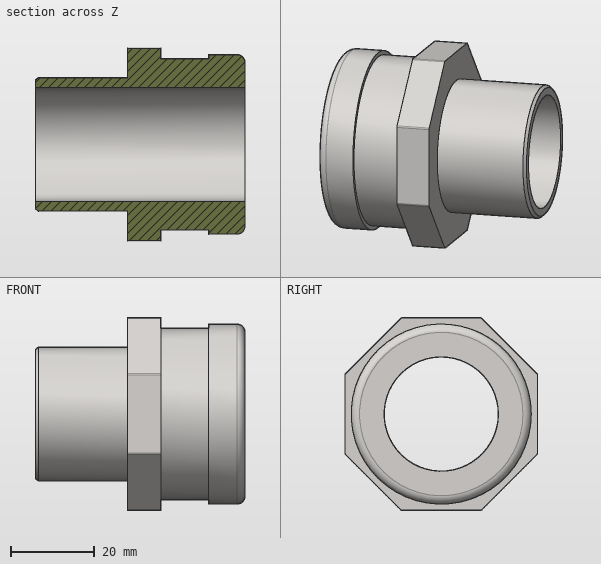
import cadquery as cq
import math

overall_length = 50.1
spigot_length = 22.0
nut_length = 8.0
collar_length = 8.7
body_length = overall_length - spigot_length - nut_length - collar_length

bore_diameter = 27.2
spigot_diameter = 32.0
body_diameter = 41.0
collar_diameter = 43.0
nut_across_flats = 46.0
nut_sides = 8

spigot_chamfer_length = 0.7
spigot_chamfer_depth = 0.6
collar_fillet = 2.0
nut_corner_radius = 0.5

nut_start = spigot_length
body_start = nut_start + nut_length
collar_start = body_start + body_length


def cylinder_along_x(start, length, diameter):
    """Solid cylinder centred on the X axis, running toward +X from start."""
    return cq.Workplane("YZ", origin=(start, 0, 0)).circle(diameter / 2).extrude(length)


def make_spigot():
    """Plain round spigot with a lead-in chamfer, revolved about the X axis."""
    spigot_radius = spigot_diameter / 2
    return (
        cq.Workplane("XY")
        .moveTo(0, 0)
        .lineTo(0, spigot_radius - spigot_chamfer_depth)
        .lineTo(spigot_chamfer_length, spigot_radius)
        .lineTo(spigot_length, spigot_radius)
        .lineTo(spigot_length, 0)
        .close()
        .revolve(360, (0, 0, 0), (1, 0, 0))
    )


def make_octagonal_nut():
    """Octagon with flats facing Y and Z and slightly rounded corners."""
    half_side_angle = 180 / nut_sides
    across_corners = nut_across_flats / math.cos(math.radians(half_side_angle))
    nut = (
        cq.Workplane("YZ", origin=(nut_start, 0, 0))
        .transformed(rotate=(0, 0, half_side_angle))
        .polygon(nut_sides, across_corners)
        .extrude(nut_length)
    )
    return nut.edges("|X").fillet(nut_corner_radius)


def make_collar():
    """End ring with a rounded outer rim."""
    collar = cylinder_along_x(collar_start, collar_length, collar_diameter)
    return collar.faces(">X").edges().fillet(collar_fillet)


def make_fitting():
    """Stack the outer sections end to end and bore them right through."""
    body = cylinder_along_x(body_start, body_length, body_diameter)
    bore = cylinder_along_x(0, overall_length, bore_diameter)
    outside = make_spigot().union(make_octagonal_nut()).union(body).union(make_collar())
    return outside.cut(bore)


result = make_fitting()